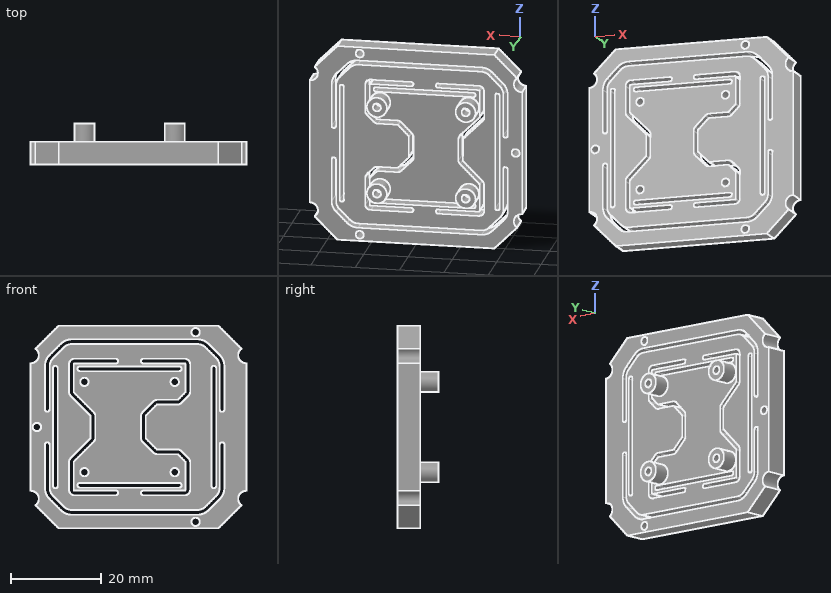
import cadquery as cq

PLATE_WIDTH = 47.9
PLATE_HEIGHT = 44.9
PLATE_THICKNESS = 5.1
CORNER_CHAMFER = 6.25

NOTCH_RADIUS = 1.75
NOTCH_X = 23.85
NOTCH_Z = 15.9

HOLE_DIAMETER = 1.8
RIM_PAIR_X = 12.65
RIM_PAIR_Z = 21.0
RIM_LEFT_X = -22.5

STANDOFF_DIAMETER = 4.5
STANDOFF_LENGTH = 4.0
STANDOFF_PITCH = 20.0
STAGE_X = -1.98

CHANNEL_WIDTH = 1.0

FRAME_X = -0.85
OUTER_HALF_WIDTH = 19.35
OUTER_HALF_HEIGHT = 18.9
OUTER_CHAMFER = 4.2
OUTER_BEND_RADIUS = 3.0
OUTER_END_Z = 3.4

UPRIGHT_SLOT_OFFSET = 17.55
UPRIGHT_SLOT_LENGTH = 27.1

LEVEL_SLOT_Z = 12.9
LEVEL_SLOT_LENGTH = 23.0

INNER_HALF_WIDTH = 12.9
INNER_HALF_HEIGHT = 14.6
INNER_END_OFFSET = 2.55
INNER_BEND_RADIUS = 0.7
INNER_BEND_Z = 7.5
LEFT_WAIST_OFFSET = 8.1
RIGHT_WAIST_OFFSET = 3.05
RIGHT_STEP_Z = 5.5
WAIST_BEND_Z = INNER_BEND_Z - (INNER_HALF_WIDTH - LEFT_WAIST_OFFSET)


def front_plane(y=0.0):
    """Workplane facing -Y with local axes X and Z; negative extrusions run toward +Y."""
    return cq.Workplane("XZ", origin=(0, y, 0))


def channel(points, bend_radius):
    """Cutter for a round-ended channel whose centre line is the points with rounded bends."""
    centre_line = cq.Wire.makePolygon([cq.Vector(x, 0, z) for x, z in points])
    centre_line = centre_line.fillet(bend_radius)
    outline = front_plane().newObject([centre_line]).toPending().offset2D(CHANNEL_WIDTH / 2)
    return outline.extrude(-PLATE_THICKNESS)


def outer_channel(side):
    """U-shaped channel above (side = 1) or below (side = -1) the middle of the plate."""
    left = FRAME_X - OUTER_HALF_WIDTH
    right = FRAME_X + OUTER_HALF_WIDTH
    end_z = OUTER_END_Z + CHANNEL_WIDTH / 2
    shoulder_z = OUTER_HALF_HEIGHT - OUTER_CHAMFER
    points = [
        (left, side * end_z),
        (left, side * shoulder_z),
        (left + OUTER_CHAMFER, side * OUTER_HALF_HEIGHT),
        (right - OUTER_CHAMFER, side * OUTER_HALF_HEIGHT),
        (right, side * shoulder_z),
        (right, side * end_z),
    ]
    return channel(points, OUTER_BEND_RADIUS)


def inner_channel(side, waist_points):
    """Channel on the left (side = -1) or right (side = 1) of the stage, symmetric about Z = 0.

    The waist points lead from the upper 45 degree bend to the waist, as (offset, z).
    """
    upper_half = [
        (INNER_END_OFFSET + CHANNEL_WIDTH / 2, INNER_HALF_HEIGHT),
        (INNER_HALF_WIDTH, INNER_HALF_HEIGHT),
        (INNER_HALF_WIDTH, INNER_BEND_Z),
        *waist_points,
    ]
    lower_half = [(offset, -z) for offset, z in reversed(upper_half)]
    points = [(STAGE_X + side * offset, z) for offset, z in upper_half + lower_half]
    return channel(points, INNER_BEND_RADIUS)


def left_inner_channel():
    """The 45 degree stretch runs straight to the waist."""
    return inner_channel(-1, [(LEFT_WAIST_OFFSET, WAIST_BEND_Z)])


def right_inner_channel():
    """Two 45 degree stretches with a level step between them lead to the waist."""
    step_start = INNER_HALF_WIDTH - (INNER_BEND_Z - RIGHT_STEP_Z)
    step_end = RIGHT_WAIST_OFFSET + (RIGHT_STEP_Z - WAIST_BEND_Z)
    waist_points = [
        (step_start, RIGHT_STEP_Z),
        (step_end, RIGHT_STEP_Z),
        (RIGHT_WAIST_OFFSET, WAIST_BEND_Z),
    ]
    return inner_channel(1, waist_points)


def straight_slots(centres, length, angle):
    """Cutters for equal straight slots at the given (x, z) centres."""
    return front_plane().pushPoints(centres).slot2D(length, CHANNEL_WIDTH, angle).extrude(-PLATE_THICKNESS)


def round_cutters(centres, diameter):
    """Cylinders through the whole plate thickness at the given (x, z) centres."""
    return front_plane().pushPoints(centres).circle(diameter / 2).extrude(-PLATE_THICKNESS)


def standoff_centres():
    half_pitch = STANDOFF_PITCH / 2
    return [(STAGE_X + i * half_pitch, j * half_pitch) for i in (-1, 1) for j in (-1, 1)]


def make_plate():
    """Chamfered slab with edge notches, screw holes, channels and slots."""
    slab = front_plane().rect(PLATE_WIDTH, PLATE_HEIGHT).extrude(-PLATE_THICKNESS)
    slab = slab.edges("|Y").chamfer(CORNER_CHAMFER)

    notch_centres = [(i * NOTCH_X, j * NOTCH_Z) for i in (-1, 1) for j in (-1, 1)]
    rim_holes = [(RIM_PAIR_X, RIM_PAIR_Z), (RIM_PAIR_X, -RIM_PAIR_Z), (RIM_LEFT_X, 0)]
    upright_slots = [(FRAME_X + i * UPRIGHT_SLOT_OFFSET, 0) for i in (-1, 1)]
    level_slots = [(STAGE_X, j * LEVEL_SLOT_Z) for j in (-1, 1)]

    cutters = [
        round_cutters(notch_centres, 2 * NOTCH_RADIUS),
        round_cutters(rim_holes + standoff_centres(), HOLE_DIAMETER),
        outer_channel(1),
        outer_channel(-1),
        left_inner_channel(),
        right_inner_channel(),
        straight_slots(upright_slots, UPRIGHT_SLOT_LENGTH, 90),
        straight_slots(level_slots, LEVEL_SLOT_LENGTH, 0),
    ]
    for cutter in cutters:
        slab = slab.cut(cutter)
    return slab


def make_standoff(centre):
    """Bored post standing on the back face of the plate."""
    section = front_plane(PLATE_THICKNESS).center(*centre)
    section = section.circle(STANDOFF_DIAMETER / 2).circle(HOLE_DIAMETER / 2)
    return section.extrude(-STANDOFF_LENGTH)


plate = make_plate()

standoffs = []
for standoff_centre in standoff_centres():
    standoffs.append(make_standoff(standoff_centre).val())

result = cq.Compound.makeCompound([plate.val(), *standoffs])